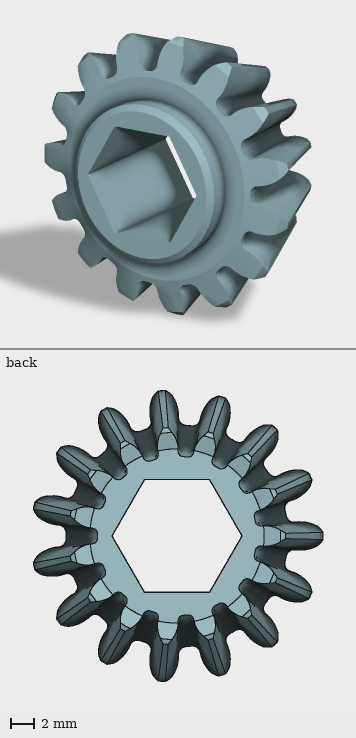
import cadquery as cq
import math


overall_diameter = 24.83

tooth_count = 15
half_pitch = 180 / tooth_count
tip_half_angle = 1.4

quarter_pitch = half_pitch / 2
heel_tip_radius = overall_diameter / 2 / math.cos(math.radians(quarter_pitch - tip_half_angle))

heel_face_radius = 8.96
heel_cone_radius = 12.0
heel_cone_y = 1.0
heel_tip_y = 1.81
toe_y = 10.48
toe_tip_radius = 9.25
toe_tip_bevel = 0.2
toe_rim_radius = 8.85
toe_recess_depth = 0.47
cone_run = 3.0

hub_radius = 7.0
hub_length = 2.2
hub_chamfer = 0.5
hex_flats = 9.58

toe_tip_y = toe_y - toe_tip_bevel
tip_taper = (heel_tip_radius - toe_tip_radius) / (toe_tip_y - heel_tip_y)
apex_y = heel_tip_y + heel_tip_radius / tip_taper
tip_radius = apex_y * tip_taper

root_radius = 9.5
root_half_angle = 1.5
fillet_radius_position = 10.15
fillet_half_thickness = 1.2
fillet_bulge = 0.17
flank_radius = 11.55
flank_half_thickness = 1.15
cutter_radius = tip_radius + 0.75
cutter_overrun = 0.5


def polar(radius, degrees):
    angle = math.radians(degrees)
    return radius * math.cos(angle), radius * math.sin(angle)


def space_point(radius, tooth_half_thickness):
    """Point on the upper side of a tooth space, from the tooth thickness at that radius."""
    tooth_half_angle = math.degrees(math.asin(tooth_half_thickness / radius))
    return polar(radius, half_pitch - tooth_half_angle)


def make_blank():
    toe_recess_radius = toe_rim_radius - toe_recess_depth * cone_run
    toe_recess_y = toe_y - toe_recess_depth
    half_section = [
        (0, -hub_length),
        (hub_radius - hub_chamfer, -hub_length),
        (hub_radius, hub_chamfer - hub_length),
        (hub_radius, 0),
        (heel_face_radius, 0),
        (heel_cone_radius, heel_cone_y),
        (heel_tip_radius, heel_tip_y),
        (toe_tip_radius, toe_tip_y),
        (toe_rim_radius, toe_y),
        (toe_recess_radius, toe_recess_y),
        (0, toe_recess_y),
    ]
    return cq.Workplane("XY").polyline(half_section).close().revolve(360, (0, 0, 0), (0, 1, 0))


def space_outline(y):
    """Closed outline of one tooth space, centred on +X, at the given position along Y."""
    scale = (apex_y - y) / apex_y
    root_corner = polar(root_radius, root_half_angle)
    fillet_end = space_point(fillet_radius_position, fillet_half_thickness)
    flank_middle = space_point(flank_radius, flank_half_thickness)
    tip_corner = polar(tip_radius, half_pitch - tip_half_angle)
    outer_corner = polar(cutter_radius, half_pitch - tip_half_angle)

    chord_x = fillet_end[0] - root_corner[0]
    chord_z = fillet_end[1] - root_corner[1]
    bulge_ratio = fillet_bulge / math.hypot(chord_x, chord_z)
    fillet_middle = (
        (root_corner[0] + fillet_end[0]) / 2 - chord_z * bulge_ratio,
        (root_corner[1] + fillet_end[1]) / 2 + chord_x * bulge_ratio,
    )

    def place(point, side=1):
        return cq.Vector(point[0] * scale, y, side * point[1] * scale)

    edges = [
        cq.Edge.makeThreePointArc(place(root_corner, -1), place((root_radius, 0)), place(root_corner)),
        cq.Edge.makeLine(place(outer_corner), place(outer_corner, -1)),
    ]
    for side in (1, -1):
        edges += [
            cq.Edge.makeThreePointArc(
                place(root_corner, side), place(fillet_middle, side), place(fillet_end, side)
            ),
            cq.Edge.makeThreePointArc(
                place(fillet_end, side), place(flank_middle, side), place(tip_corner, side)
            ),
            cq.Edge.makeLine(place(tip_corner, side), place(outer_corner, side)),
        ]
    return cq.Wire.combine(edges)[0]


def make_space_cutter():
    outlines = [space_outline(-cutter_overrun), space_outline(toe_y + cutter_overrun)]
    return cq.Solid.makeLoft(outlines, True)


def make_bore():
    hex_corner_diameter = hex_flats / math.cos(math.pi / 6)
    bore = cq.Workplane("XZ", origin=(0, toe_y, 0)).polygon(6, hex_corner_diameter)
    return bore.extrude(toe_y + hub_length)


space_cutter = make_space_cutter()
tooth_spaces = []
for index in range(tooth_count):
    turn = index * 2 * half_pitch
    tooth_spaces.append(space_cutter.rotate(cq.Vector(0, 0, 0), cq.Vector(0, 1, 0), turn))

blank = make_blank().cut(make_bore())
result = cq.Workplane(blank.val().cut(*tooth_spaces).Solids()[0])